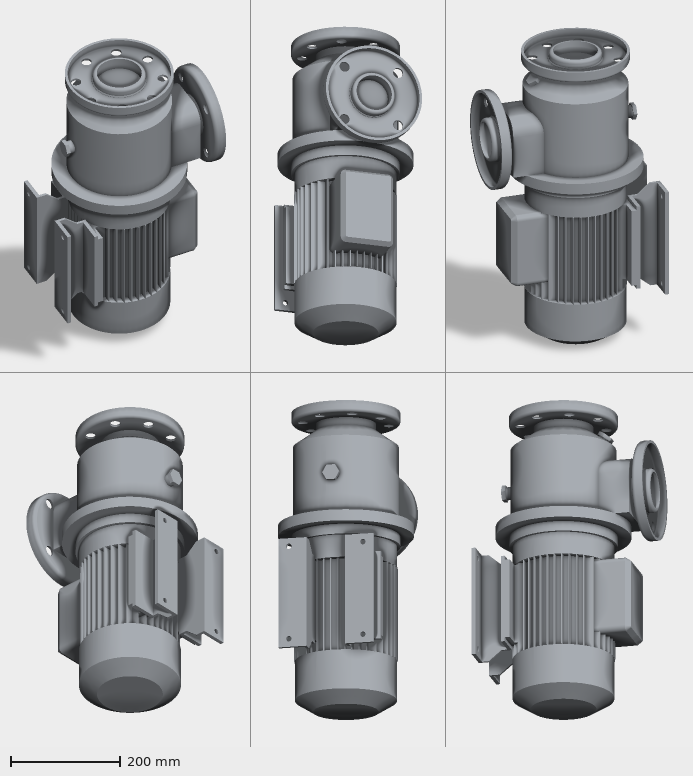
import cadquery as cq
import math


TOTAL_HEIGHT = 565.0
MOTOR_CONE_TOP = 21.0
FIN_BOTTOM = 95.0
FIN_TOP = 270.0
MOTOR_FLANGE_BOTTOM = 312.5
JOINT_HEIGHT = 331.0
LANTERN_TOP = 352.0
CASING_TOP = 500.0
NECK_BOTTOM = 530.5

LANTERN_RADIUS = 125.0
CASING_RADIUS = 97.0
NECK_RADIUS = 55.5

FLANGE_THICKNESS = 21.0
RIM_THICKNESS = 5.0
RECESS_DEPTH = 16.5
RECESS_FILLET = 3.0
SUCTION_BACK_FILLET = 5.0
DISCHARGE_BACK_FILLET = 7.0
HUB_BASE_STEP = 2.0
HUB_BASE_CHAMFER = 1.5
HUB_FILLET_SHARE = 0.8
BORE_DEPTH = 23.0
BOLT_HOLE_RADIUS = 9.5
SUCTION_RADIUS = 100.0
SUCTION_BOLT_CIRCLE = 79.5
SUCTION_BOLTS = 8
SUCTION_HUB_RADIUS = 48.5
SUCTION_BORE_RADIUS = 41.0
SUCTION_HUB_RISE = 0
DISCHARGE_RADIUS = 92.5
DISCHARGE_BOLT_CIRCLE = 73.0
DISCHARGE_BOLTS = 4
DISCHARGE_HUB_RADIUS = 40.5
DISCHARGE_BORE_RADIUS = 34.0
DISCHARGE_HUB_RISE = 1.0

DISCHARGE_HEIGHT = 409.0
DISCHARGE_RIM_Y = 173.0
BRANCH_FACE_Y = 139.0
BRANCH_HALF_WIDTH = 55.5
BRANCH_TOP = 464.0
BRANCH_FILLET = 30.5
DISCHARGE_NECK_RADIUS = 42.5
DISCHARGE_GROOVE_RADIUS = 40.5
DISCHARGE_GROOVE_LENGTH = 4.0

PLUG_FLATS = 27.5
PLUG_HEAD_HEIGHT = 7.5
PLUG_SHANK_RADIUS = 12.0
PLUG_EMBED = 11.5
DRAIN_PLUG_HEIGHT = 426.5
DRAIN_SHANK_LENGTH = 10.0
VENT_SHANK_LENGTH = 1.5
VENT_RADIUS = 77.0

MOTOR_RADIUS = 94.0
MOTOR_FLANGE_RADIUS = 100.0
MOTOR_BOTTOM_RADIUS = 60.5
CORE_RADIUS = 80.0
FIN_REACH = 95.5
FIN_THICKNESS = 1.5
FIN_PITCH_ANGLE = 8.1
FINS_PER_HALF = 5

BOX_HALF_WIDTH = 50.5
BOX_FACE_Y = 139.0
BOX_BOTTOM = 126.5
BOX_TOP = 269.0
BOX_FILLET = 9.5
BOX_CHAMFER_DEPTH = 9.5
BOX_CHAMFER_SIDE = 7.0

FOOT_FACE_Y = 151.0
FOOT_OUTER_X = 90.0
FOOT_INNER_X = 37.0
FOOT_SHEET = 7.5
FOOT_WEB_SHEET = 5.0
FOOT_BOTTOM = 90.5
FOOT_TOP = 296.0
MOUNT_FACE_Y = 95.5
MOUNT_BOTTOM = 110.0
MOUNT_TOP = 276.0
WEB_TAPER_START_Y = 107.0
WEB_TAPER_END_Y = 131.0
PAD_STEP_Y = 78.5
PAD_BOTTOM = 117.5
PAD_TOP = 268.0
FOOT_HOLE_X = 70.0
FOOT_HOLE_RADIUS = 5.0
FOOT_HOLE_INSET = 15.0


def block(x0, x1, y0, y1, z0, z1):
    """Box between opposite corners."""
    return cq.Workplane("XY").box(x1 - x0, y1 - y0, z1 - z0, centered=False).translate((x0, y0, z0))


def disc(radius, z0, z1):
    """Cylinder on the shaft axis between two heights."""
    return cq.Workplane("XY").workplane(offset=z0).circle(radius).extrude(z1 - z0)


def port_flange(radius, back_fillet, hub_radius, bore_radius, hub_rise, bolt_circle, bolts):
    """Pressed flange with its rim at Z = 0 facing up, a hub in its recess and a blind bore."""
    hub_fillet = HUB_FILLET_SHARE * (hub_radius - bore_radius)
    flange = disc(radius, -FLANGE_THICKNESS, 0).faces("<Z").edges().fillet(back_fillet)
    recess = disc(radius - RIM_THICKNESS, -RECESS_DEPTH, 0).faces("<Z").edges().fillet(RECESS_FILLET)
    hub = disc(hub_radius, -FLANGE_THICKNESS, hub_rise).faces(">Z").edges().fillet(hub_fillet)
    collar = disc(hub_radius + HUB_BASE_STEP, -FLANGE_THICKNESS, HUB_BASE_STEP - RECESS_DEPTH)
    collar = collar.faces(">Z").edges().chamfer(HUB_BASE_CHAMFER)
    holes = (
        cq.Workplane("XY")
        .polarArray(bolt_circle, 180 / bolts, 360, bolts)
        .circle(BOLT_HOLE_RADIUS)
        .extrude(-FLANGE_THICKNESS)
    )
    return flange.cut(recess).union(hub).union(collar).cut(holes)


def bore(radius, rise):
    """Blind bore of a port, opening at the hub top above Z = 0."""
    return disc(radius, -BORE_DEPTH, rise)


def plug(shank_length):
    """Hexagonal plug along +Z that leaves the casing at Z = 0, with head corners on X."""
    corner_diameter = PLUG_FLATS / math.cos(math.pi / 6)
    head = (
        cq.Workplane("XY")
        .workplane(offset=shank_length)
        .polygon(6, corner_diameter)
        .extrude(PLUG_HEAD_HEIGHT)
    )
    return disc(PLUG_SHANK_RADIUS, -PLUG_EMBED, shank_length).union(head)


def pump_casing():
    """Lantern flange, cylindrical casing, cone and suction neck in one revolved profile."""
    neck_top = TOTAL_HEIGHT - FLANGE_THICKNESS
    profile = [
        (0, JOINT_HEIGHT),
        (LANTERN_RADIUS, JOINT_HEIGHT),
        (LANTERN_RADIUS, LANTERN_TOP),
        (CASING_RADIUS, LANTERN_TOP),
        (CASING_RADIUS, CASING_TOP),
        (NECK_RADIUS, NECK_BOTTOM),
        (NECK_RADIUS, neck_top),
        (0, neck_top),
    ]
    return cq.Workplane("XZ").polyline(profile).close().revolve(360, (0, 0, 0), (0, 1, 0))


def discharge_branch():
    """Round-topped block from the casing to the discharge neck, with its stepped neck."""
    branch = block(-BRANCH_HALF_WIDTH, BRANCH_HALF_WIDTH, 0, BRANCH_FACE_Y, LANTERN_TOP, BRANCH_TOP)
    branch = branch.edges("|Y and >Z").fillet(BRANCH_FILLET)
    flange_back_y = DISCHARGE_RIM_Y - FLANGE_THICKNESS
    groove_y = flange_back_y - DISCHARGE_GROOVE_LENGTH
    neck = disc(DISCHARGE_NECK_RADIUS, BRANCH_FACE_Y, groove_y)
    neck = neck.union(disc(DISCHARGE_GROOVE_RADIUS, groove_y, flange_back_y))
    return branch.union(place_on_discharge(neck, 0))


def place_on_discharge(shape, y):
    """Turn a shape built along +Z to +Y, on the discharge axis."""
    return shape.rotate((0, 0, 0), (1, 0, 0), -90).translate((0, y, DISCHARGE_HEIGHT))


def drain_plug():
    """Plug on the -Y side of the casing."""
    turned = plug(DRAIN_SHANK_LENGTH).rotate((0, 0, 0), (1, 0, 0), 90)
    return turned.translate((0, -CASING_RADIUS, DRAIN_PLUG_HEIGHT))


def vent_plug():
    """Plug standing square to the cone on its +Y side."""
    cone_height = NECK_BOTTOM - CASING_TOP
    cone_slope = math.atan2(cone_height, CASING_RADIUS - NECK_RADIUS)
    height = CASING_TOP + (CASING_RADIUS - VENT_RADIUS) * math.tan(cone_slope)
    tilted = plug(VENT_SHANK_LENGTH).rotate((0, 0, 0), (1, 0, 0), -math.degrees(cone_slope))
    return tilted.translate((0, VENT_RADIUS, height))


def make_pump():
    suction = port_flange(
        SUCTION_RADIUS, SUCTION_BACK_FILLET, SUCTION_HUB_RADIUS, SUCTION_BORE_RADIUS,
        SUCTION_HUB_RISE, SUCTION_BOLT_CIRCLE, SUCTION_BOLTS,
    )
    discharge = port_flange(
        DISCHARGE_RADIUS, DISCHARGE_BACK_FILLET, DISCHARGE_HUB_RADIUS, DISCHARGE_BORE_RADIUS,
        DISCHARGE_HUB_RISE, DISCHARGE_BOLT_CIRCLE, DISCHARGE_BOLTS,
    )
    body = pump_casing().union(discharge_branch())
    body = body.union(suction.translate((0, 0, TOTAL_HEIGHT)))
    body = body.union(place_on_discharge(discharge, DISCHARGE_RIM_Y))
    body = body.union(drain_plug()).union(vent_plug())
    body = body.cut(bore(SUCTION_BORE_RADIUS, SUCTION_HUB_RISE).translate((0, 0, TOTAL_HEIGHT)))
    return body.cut(place_on_discharge(bore(DISCHARGE_BORE_RADIUS, DISCHARGE_HUB_RISE), DISCHARGE_RIM_Y))


def motor_barrel():
    """Fan cover, finned core and motor flange in one revolved profile."""
    profile = [
        (0, 0),
        (MOTOR_BOTTOM_RADIUS, 0),
        (MOTOR_RADIUS, MOTOR_CONE_TOP),
        (MOTOR_RADIUS, FIN_BOTTOM),
        (CORE_RADIUS, FIN_BOTTOM),
        (CORE_RADIUS, FIN_TOP),
        (MOTOR_RADIUS, FIN_TOP),
        (MOTOR_RADIUS, MOTOR_FLANGE_BOTTOM),
        (MOTOR_FLANGE_RADIUS, MOTOR_FLANGE_BOTTOM),
        (MOTOR_FLANGE_RADIUS, JOINT_HEIGHT),
        (0, JOINT_HEIGHT),
    ]
    return cq.Workplane("XZ").polyline(profile).close().revolve(360, (0, 0, 0), (0, 1, 0))


def fin_offset(index):
    """Distance of a fin's middle plane from the axis; fins are evenly spread in angle."""
    return FIN_REACH * math.sin(math.radians((index + 0.5) * FIN_PITCH_ANGLE))


def cooling_fins():
    """Straight fins along X and along Y, all standing equally far out of the round core."""
    plate_y_face = MOUNT_FACE_Y - FOOT_SHEET
    fins = cq.Workplane("XY")
    for index in range(FINS_PER_HALF):
        offset = fin_offset(index)
        reach = math.sqrt(CORE_RADIUS**2 - offset**2) + FIN_REACH - CORE_RADIUS
        for middle in (-offset, offset):
            low = middle - FIN_THICKNESS / 2
            high = middle + FIN_THICKNESS / 2
            fins = fins.union(block(low, high, -min(reach, plate_y_face), reach, FIN_BOTTOM, FIN_TOP))
            fins = fins.union(block(-reach, reach, low, high, FIN_BOTTOM, FIN_TOP))
    return fins


def terminal_box():
    box = block(-BOX_HALF_WIDTH, BOX_HALF_WIDTH, 0, BOX_FACE_Y, BOX_BOTTOM, BOX_TOP)
    box = box.edges("|Y").fillet(BOX_FILLET)
    return box.faces(">Y").chamfer(BOX_CHAMFER_SIDE, BOX_CHAMFER_DEPTH)


def left_foot():
    """Bent foot on the -X side: pad, mount plate, tapered web and drilled floor plate."""
    plate_back_y = MOUNT_FACE_Y - FOOT_SHEET
    pad = block(-FOOT_OUTER_X, -FOOT_INNER_X, -plate_back_y, -PAD_STEP_Y, PAD_BOTTOM, PAD_TOP)
    pad_root = block(
        -fin_offset(FINS_PER_HALF - 1), -FOOT_INNER_X, -PAD_STEP_Y, 0, PAD_BOTTOM, PAD_TOP
    )
    plate = block(
        -FOOT_OUTER_X, -FOOT_INNER_X, -MOUNT_FACE_Y, -plate_back_y, MOUNT_BOTTOM, MOUNT_TOP
    )
    web_profile = [
        (-plate_back_y, MOUNT_BOTTOM),
        (-WEB_TAPER_START_Y, MOUNT_BOTTOM),
        (-WEB_TAPER_END_Y, FOOT_BOTTOM),
        (-FOOT_FACE_Y, FOOT_BOTTOM),
        (-FOOT_FACE_Y, FOOT_TOP),
        (-WEB_TAPER_END_Y, FOOT_TOP),
        (-WEB_TAPER_START_Y, MOUNT_TOP),
        (-plate_back_y, MOUNT_TOP),
    ]
    web = cq.Workplane("YZ").polyline(web_profile).close().extrude(-FOOT_WEB_SHEET)
    web = web.translate((-FOOT_INNER_X, 0, 0))
    floor_back_y = FOOT_FACE_Y - FOOT_SHEET
    floor = block(-FOOT_OUTER_X, -FOOT_INNER_X, -FOOT_FACE_Y, -floor_back_y, FOOT_BOTTOM, FOOT_TOP)
    hole_points = [
        (-FOOT_HOLE_X, FOOT_BOTTOM + FOOT_HOLE_INSET),
        (-FOOT_HOLE_X, FOOT_TOP - FOOT_HOLE_INSET),
    ]
    holes = (
        cq.Workplane("XZ", origin=(0, -floor_back_y, 0))
        .pushPoints(hole_points)
        .circle(FOOT_HOLE_RADIUS)
        .extrude(FOOT_SHEET)
    )
    return pad.union(pad_root).union(plate).union(web).union(floor.cut(holes))


def make_motor():
    foot = left_foot()
    body = motor_barrel().union(cooling_fins()).union(terminal_box())
    return body.union(foot).union(foot.mirror("YZ"))


pump = make_pump()
motor = make_motor()
result = cq.Compound.makeCompound([pump.solids().val(), motor.solids().val()])